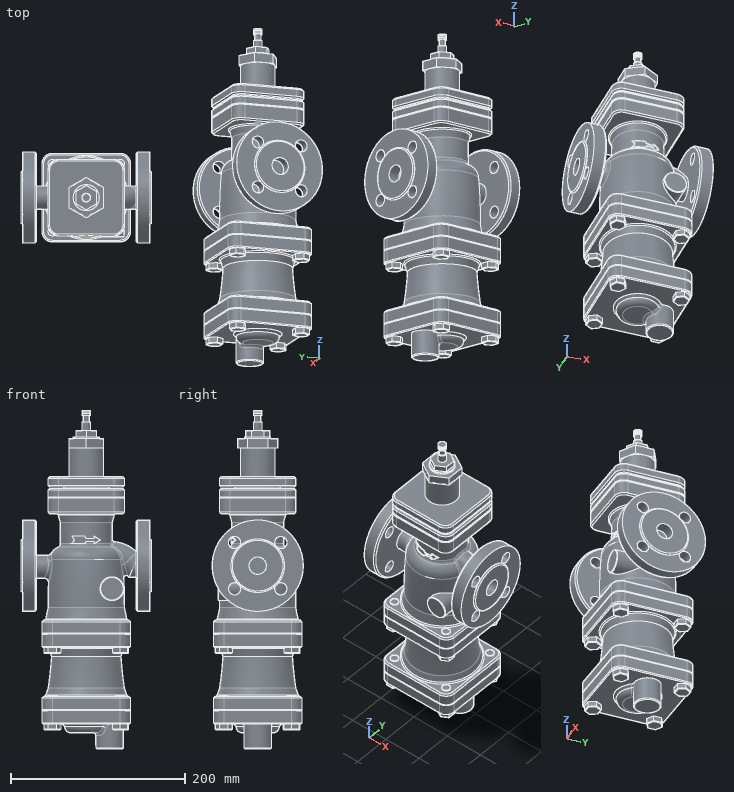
import cadquery as cq
import math

drain_cover_z = 18.3
bottom_joint_z = (28.8, 60.3)
middle_joint_z = (116.7, 148.0)
top_joint_z = (270.0, 299.0)
top_joint_split_z = 288.5
cap_z = (300.7, 312.8)
bonnet_top_z = 345.5
big_hex_top_z = 356.5
washer_top_z = 358.3
small_hex_top_z = 365.5
total_height = 389.0

joint_side = 102.0
cap_side = 88.0
corner_radius = 12.0
rim_chamfer = 2.0
lower_rim_chamfer = 1.0
gasket_thickness = 1.0
gasket_diameter = 89.5
cap_gasket_inset = 0.8
cap_spigot_diameter = 52.0

bolt_offset = 39.0
bolt_diameter = 10.0
bolt_protrusion = 1.0
bolt_head_diameter = 20.0
bolt_head_height = 7.0
bolt_head_chamfer = 0.8

port_z = 210.5
face_to_face = 150.0
pipe_flange_diameter = 105.0
pipe_flange_thickness = 16.0
raised_face_diameter = 61.5
raised_face_height = 2.0
raised_face_chamfer = 1.5
port_bore = 20.0
port_bore_depth = 15.5
pipe_bolt_hole = 14.0
pipe_bolt_circle = 75.0
pipe_diameter = 27.0
inlet_z = 209.3
inlet_fillet = 4.5
outlet_fillet = 2.7

neck_radius = 30.0
neck_flare_radius = 32.3
neck_flare_z = 260.0
dome_radius = 15.5
dome_base_z = 217.5
shoulder_radius = 42.0
barrel_radius = 44.0
barrel_base_z = 162.2
barrel_bulge = (43.5, 190.0)
skirt_radius = 46.5
root_radius = 1.5

elbow_bend_radius = 28.0
elbow_start_x = 28.8
elbow_start_z = 225.0

side_boss_diameter = 27.2
side_boss_x = 29.5
side_boss_z = 184.0
side_boss_reach = 45.5
side_boss_chamfer = 0.6
drain_diameter = 32.0
drain_x = 27.0
drain_chamfer = 1.0
spout_fillet = 3.0


def cylinder(diameter, z_low, z_high, x=0):
    disc = cq.Workplane("XY").workplane(offset=z_low).center(x, 0)
    return disc.circle(diameter / 2).extrude(z_high - z_low)


def hexagon(corner_diameter, z_low, z_high, turn=0):
    """Hexagonal prism with two corners on the X axis before it is turned about Z."""
    prism = cq.Workplane("XY").workplane(offset=z_low).polygon(6, corner_diameter).extrude(z_high - z_low)
    return prism.rotate((0, 0, 0), (0, 0, 1), turn)


def square_plate(side, z_low, z_high, radius=corner_radius):
    plate = cq.Workplane("XY").workplane(offset=z_low).rect(side, side).extrude(z_high - z_low)
    return plate.edges("|Z").fillet(radius)


def plate_pair(side, z_range, split_z, gasket, bottom_chamfer):
    """Two plates clamped on a thin recessed gasket; the outer rims are chamfered."""
    lower = square_plate(side, z_range[0], split_z - gasket_thickness / 2)
    upper = square_plate(side, split_z + gasket_thickness / 2, z_range[1])
    lower = lower.faces("<Z").edges().chamfer(bottom_chamfer)
    upper = upper.faces(">Z").edges().chamfer(rim_chamfer)
    return lower.union(gasket).union(upper)


def bolted_joint(z_range):
    z_low, z_high = z_range
    split_z = (z_low + z_high) / 2
    gasket = cylinder(gasket_diameter, split_z - gasket_thickness, split_z + gasket_thickness)
    joint = plate_pair(joint_side, z_range, split_z, gasket, lower_rim_chamfer)
    head = hexagon(bolt_head_diameter, z_low - bolt_head_height, z_low)
    head = head.faces("<Z").edges().chamfer(bolt_head_chamfer)
    shank = cylinder(bolt_diameter, z_low, z_high + bolt_protrusion)
    bolt = head.union(shank).translate((bolt_offset, bolt_offset, 0))
    for quarter in range(4):
        joint = joint.union(bolt.rotate((0, 0, 0), (0, 0, 1), 90 * quarter))
    return joint


def top_joint():
    split_z = top_joint_split_z
    gasket = square_plate(
        cap_side - 2 * cap_gasket_inset,
        split_z - gasket_thickness,
        split_z + gasket_thickness,
        corner_radius - cap_gasket_inset,
    )
    joint = plate_pair(cap_side, top_joint_z, split_z, gasket, rim_chamfer)
    cap = square_plate(cap_side, *cap_z).faces("<Z or >Z").edges().chamfer(rim_chamfer)
    return joint.union(cap).union(cylinder(cap_spigot_diameter, top_joint_z[1], cap_z[0]))


def bonnet_and_stem():
    bonnet_diameter = 40.0
    small_hex_flats = 24.0
    washer_diameter = 30.0
    corner_ratio = 1 / math.cos(math.radians(30))
    big_hex_corners = bonnet_diameter * corner_ratio
    small_hex_corners = small_hex_flats * corner_ratio
    corners_along_y = 30
    bonnet = cylinder(bonnet_diameter, cap_z[1], bonnet_top_z)
    bonnet = bonnet.union(hexagon(big_hex_corners, bonnet_top_z, big_hex_top_z, corners_along_y))
    bonnet = bonnet.union(cylinder(washer_diameter, big_hex_top_z, washer_top_z))
    bonnet = bonnet.union(hexagon(small_hex_corners, washer_top_z, small_hex_top_z, corners_along_y))

    stem_radius = 5.0
    stem_neck_radius = 3.7
    groove_radius = 4.3
    shank_top_z = 375.5
    head_base_z = 383.0
    groove_base_z = 385.0
    groove_top_z = 387.0
    stem = (
        cq.Workplane("XZ")
        .moveTo(0, small_hex_top_z)
        .lineTo(stem_radius, small_hex_top_z)
        .lineTo(stem_radius, shank_top_z)
        .lineTo(stem_neck_radius, shank_top_z)
        .lineTo(stem_neck_radius, head_base_z)
        .lineTo(stem_radius, head_base_z)
        .lineTo(stem_radius, groove_base_z)
        .lineTo(groove_radius, groove_base_z)
        .lineTo(groove_radius, groove_top_z)
        .lineTo(stem_radius, groove_top_z)
        .lineTo(stem_radius, total_height)
        .lineTo(0, total_height)
        .close()
        .revolve(360, (0, 0), (0, 1))
    )
    return bonnet.union(stem)


def main_body():
    """Turned shell: flared neck, concave blend into a domed shoulder, bowed barrel, flared skirt."""
    blend_radius = 4.3
    skirt_top_z = 149.5
    dome_center_r = shoulder_radius - dome_radius
    run = neck_radius + blend_radius - dome_center_r
    rise = math.sqrt((dome_radius + blend_radius) ** 2 - run**2)
    blend_z = dome_base_z + rise
    meet_angle = math.atan2(rise, run)
    meet = (
        dome_center_r + dome_radius * math.cos(meet_angle),
        dome_base_z + dome_radius * math.sin(meet_angle),
    )
    dome_middle = (
        dome_center_r + dome_radius * math.cos(meet_angle / 2),
        dome_base_z + dome_radius * math.sin(meet_angle / 2),
    )
    blend_angle = math.pi + meet_angle / 2
    blend_middle = (
        neck_radius + blend_radius * (1 + math.cos(blend_angle)),
        blend_z + blend_radius * math.sin(blend_angle),
    )
    return (
        cq.Workplane("XZ")
        .moveTo(0, middle_joint_z[1])
        .lineTo(skirt_radius + root_radius, middle_joint_z[1])
        .lineTo(skirt_radius, skirt_top_z)
        .lineTo(barrel_radius, barrel_base_z)
        .threePointArc(barrel_bulge, (shoulder_radius, dome_base_z))
        .threePointArc(dome_middle, meet)
        .threePointArc(blend_middle, (neck_radius, blend_z))
        .lineTo(neck_radius, neck_flare_z)
        .lineTo(neck_flare_radius, top_joint_z[0] - root_radius)
        .lineTo(neck_flare_radius + root_radius, top_joint_z[0])
        .lineTo(0, top_joint_z[0])
        .close()
        .revolve(360, (0, 0), (0, 1))
    )


def lower_body():
    """Waisted shell between the two bolted joints."""
    waist_radius = 40.0
    waist_z = 106.2
    waist_top_radius = 42.8
    mid_radius = 41.5
    lower_flare_radius = 44.0
    lower_flare_z = 69.5
    z_low = bottom_joint_z[1]
    z_high = middle_joint_z[0]
    return (
        cq.Workplane("XZ")
        .moveTo(0, z_low)
        .lineTo(skirt_radius + root_radius, z_low)
        .lineTo(skirt_radius, z_low + root_radius)
        .lineTo(lower_flare_radius, lower_flare_z)
        .threePointArc((mid_radius, (lower_flare_z + waist_z) / 2), (waist_radius, waist_z))
        .lineTo(waist_top_radius, z_high - root_radius)
        .lineTo(waist_top_radius + root_radius, z_high)
        .lineTo(0, z_high)
        .close()
        .revolve(360, (0, 0), (0, 1))
    )


def drain():
    cover_root_radius = 28.0
    cover_radius = 25.0
    cover_edge_z = 25.5
    cover_round = cover_edge_z - drain_cover_z
    cover_flat_radius = cover_radius - cover_round
    diagonal = cover_round * math.sqrt(0.5)
    cover = (
        cq.Workplane("XZ")
        .moveTo(0, bottom_joint_z[0])
        .lineTo(cover_root_radius, bottom_joint_z[0])
        .lineTo(cover_radius, cover_edge_z)
        .threePointArc(
            (cover_flat_radius + diagonal, cover_edge_z - diagonal),
            (cover_flat_radius, drain_cover_z),
        )
        .lineTo(0, drain_cover_z)
        .close()
        .revolve(360, (0, 0), (0, 1))
    )
    spout = cylinder(drain_diameter, 0, bottom_joint_z[0], drain_x)
    spout = spout.faces("<Z").edges().chamfer(drain_chamfer)
    body = cover.union(spout)
    seam_half_width = drain_diameter / 2
    seam = cq.selectors.BoxSelector(
        (0, -seam_half_width, drain_cover_z - spout_fillet),
        (drain_x, seam_half_width, bottom_joint_z[0]),
    )
    return body.edges(seam).fillet(spout_fillet)


def pipe_flange(side):
    """Drilled flange on the -X (side = -1) or +X (side = 1) port, with its raised face outward."""
    face_x = face_to_face / 2
    disc_x = face_x - raised_face_height
    back_x = disc_x - pipe_flange_thickness
    disc = (
        cq.Workplane("YZ", origin=(back_x, 0, port_z))
        .circle(pipe_flange_diameter / 2)
        .extrude(pipe_flange_thickness)
        .faces("<X").edges().chamfer(rim_chamfer)
    )
    raised = (
        cq.Workplane("YZ", origin=(disc_x, 0, port_z))
        .circle(raised_face_diameter / 2)
        .extrude(raised_face_height)
        .faces(">X").edges().chamfer(raised_face_chamfer)
    )
    holes = (
        cq.Workplane("YZ", origin=(back_x, 0, port_z))
        .polarArray(pipe_bolt_circle / 2, 45, 360, 4)
        .circle(pipe_bolt_hole / 2)
        .extrude(pipe_flange_thickness)
    )
    flange = disc.union(raised).cut(holes)
    return flange if side > 0 else flange.mirror("YZ")


def port_bores():
    face_x = face_to_face / 2
    bores = cq.Workplane("YZ", origin=(-face_x, 0, port_z)).circle(port_bore / 2).extrude(port_bore_depth)
    return bores.union(bores.mirror("YZ"))


def inlet_pipe():
    length = face_to_face / 2 - raised_face_height
    return cq.Workplane("YZ", origin=(-length, 0, inlet_z)).circle(pipe_diameter / 2).extrude(length)


def outlet_elbow():
    """Pipe leaving the shoulder, bending 45 degrees down and meeting the flange pipe in a mitre."""
    half = math.sqrt(0.5)
    bend_start = (elbow_start_x, elbow_start_z)
    bend_center_z = elbow_start_z - elbow_bend_radius
    bend_angle = math.radians(90 - 45 / 2)
    bend_middle = (
        elbow_start_x + elbow_bend_radius * math.cos(bend_angle),
        bend_center_z + elbow_bend_radius * math.sin(bend_angle),
    )
    bend_end = (
        elbow_start_x + elbow_bend_radius * half,
        bend_center_z + elbow_bend_radius * half,
    )
    drop = bend_end[1] - port_z
    mitre = (bend_end[0] + drop, port_z)
    flange_x = face_to_face / 2 - raised_face_height
    path = (
        cq.Workplane("XZ")
        .moveTo(0, bend_start[1])
        .lineTo(*bend_start)
        .threePointArc(bend_middle, bend_end)
        .lineTo(*mitre)
        .lineTo(flange_x, port_z)
    )
    profile = cq.Workplane("YZ", origin=(0, 0, bend_start[1])).circle(pipe_diameter / 2)
    return profile.sweep(path, transition="right")


def side_boss():
    boss = cq.Workplane("XZ", origin=(side_boss_x, 0, side_boss_z)).circle(side_boss_diameter / 2)
    return boss.extrude(side_boss_reach).faces("<Y").edges().chamfer(side_boss_chamfer)


def flow_arrow():
    """Raised arrow on the front of the neck, pointing along +X."""
    arrow_z = 240.0
    half_length = 16.5
    tail_half_width = 4.3
    shaft_half_width = 1.5
    notch = 2.7
    tail_end_x = -2.0
    taper = 2.0
    head_x = 9.0
    relief = 0.8
    upper_edge = [
        (-half_length, tail_half_width),
        (tail_end_x, tail_half_width),
        (tail_end_x + taper, shaft_half_width),
        (head_x, shaft_half_width),
        (head_x, tail_half_width),
    ]
    lower_edge = [(x, -z) for x, z in reversed(upper_edge)]
    outline = upper_edge + [(half_length, 0)] + lower_edge + [(notch - half_length, 0)]
    prism = cq.Workplane("XZ", origin=(0, 0, arrow_z)).polyline(outline).close().extrude(2 * neck_radius)
    skin = cylinder(2 * (neck_radius + relief), arrow_z - tail_half_width, arrow_z + tail_half_width)
    return prism.intersect(skin)


def body_with_ports():
    """Main body with both pipes blended into it."""
    seam_half_height = 31.0
    inlet_seam = cq.selectors.BoxSelector(
        (-barrel_radius, -pipe_diameter, inlet_z - seam_half_height),
        (-neck_radius, pipe_diameter, inlet_z + seam_half_height),
    )
    outlet_seam = cq.selectors.BoxSelector(
        (elbow_start_x - outlet_fillet, -pipe_diameter, port_z - seam_half_height),
        (barrel_radius + outlet_fillet, pipe_diameter, port_z + seam_half_height),
    )
    body = main_body().union(inlet_pipe())
    body = body.edges(inlet_seam).fillet(inlet_fillet)
    body = body.union(outlet_elbow())
    return body.edges(outlet_seam).fillet(outlet_fillet)


result = body_with_ports()
for piece in (
    lower_body(),
    bolted_joint(bottom_joint_z),
    bolted_joint(middle_joint_z),
    top_joint(),
    bonnet_and_stem(),
    drain(),
    pipe_flange(-1),
    pipe_flange(1),
    side_boss(),
    flow_arrow(),
):
    result = result.union(piece)
result = result.cut(port_bores())